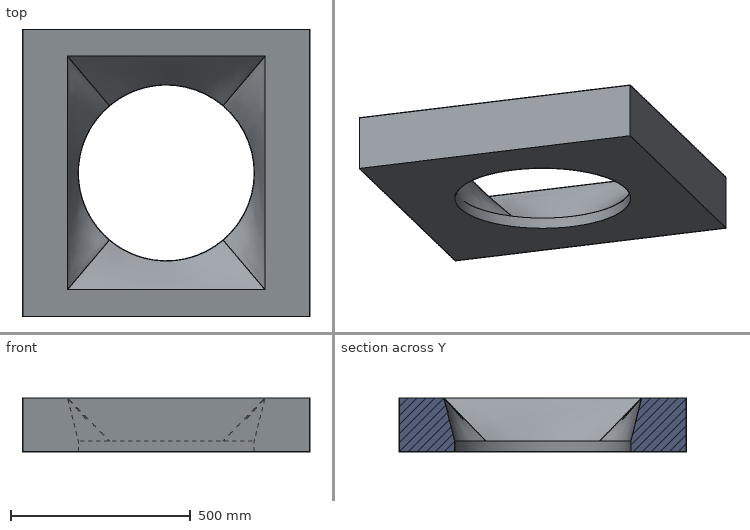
import cadquery as cq
import math

side = 800.0
height = 150.0

mouth_x = 550.0
mouth_y = 650.0
bore_diameter = 490.0
bore_depth = 30.0

bore_radius = bore_diameter / 2
corner_angle = math.degrees(math.atan2(mouth_y, mouth_x))


def bore_point(angle):
    """Point on the bore edge at an angle in degrees from +X."""
    a = math.radians(angle)
    return (bore_radius * math.cos(a), bore_radius * math.sin(a))


def make_funnel():
    """Ruled transition from the round bore to the rectangular mouth.

    The circle is split into four arcs, towards the mouth corners, so that
    each arc joins one straight side of the mouth.
    """
    corner_angles = [180 + corner_angle, 360 - corner_angle, 360 + corner_angle, 540 - corner_angle]
    mid_angles = [270, 360, 450, 540]

    circle = cq.Workplane("XY").workplane(offset=bore_depth).moveTo(*bore_point(corner_angles[0]))
    for i, mid_angle in enumerate(mid_angles):
        end_angle = corner_angles[(i + 1) % 4]
        circle = circle.threePointArc(bore_point(mid_angle), bore_point(end_angle))
    circle_wire = circle.wire().val()

    mouth_wire = cq.Workplane("XY").workplane(offset=height).rect(mouth_x, mouth_y).val()
    return cq.Workplane(cq.Solid.makeLoft([circle_wire, mouth_wire], True))


slab = cq.Workplane("XY").rect(side, side).extrude(height)
bore = cq.Workplane("XY").circle(bore_radius).extrude(bore_depth)

result = slab.cut(bore).cut(make_funnel())